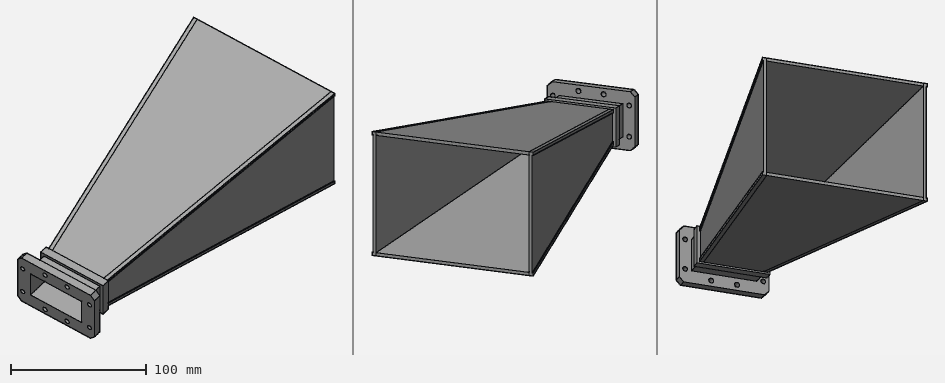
import cadquery as cq

length = 254.8

bore_width, bore_height = 47.1, 22.2
flange_width, flange_height = 70.8, 45.3
flange_thickness = 6.5
flange_chamfer = 3.5
neck_width, neck_height = 51.5, 25.5
neck_length = 12.7
collar_width, collar_height = 57.5, 30.0
collar_thickness = flange_thickness
collar_start = flange_thickness + neck_length
throat_y = collar_start + collar_thickness

edge_hole_diameter = 3.8
edge_hole_x, edge_hole_z = 10.2, 18.0
side_hole_diameter = 3.5
side_hole_x, side_hole_z = 30.8, 12.0

wall = 2.5
lip = 0.8
mouth_half_width = 130.2 / 2
mouth_half_height = 95.3 / 2
throat_half_width = bore_width / 2 + wall + lip
throat_half_height = bore_height / 2 + wall


def block(width, height, start, depth):
    """Box centred on the bore axis, reaching from start towards +Y."""
    return cq.Workplane("XY").box(width, depth, height).translate((0, start + depth / 2, 0))


def cut_holes(body, hole_x, hole_z, diameter):
    """Drill four holes, mirrored about both axes, through the flange."""
    for x in (-hole_x, hole_x):
        for z in (-hole_z, hole_z):
            drill = cq.Solid.makeCylinder(
                diameter / 2, flange_thickness, cq.Vector(x, 0, z), cq.Vector(0, 1, 0)
            )
            body = body.cut(cq.Workplane(drill))
    return body


def make_feed():
    flange = block(flange_width, flange_height, 0, flange_thickness)
    flange = flange.edges("|Y").chamfer(flange_chamfer)
    flange = cut_holes(flange, edge_hole_x, edge_hole_z, edge_hole_diameter)
    flange = cut_holes(flange, side_hole_x, side_hole_z, side_hole_diameter)
    neck = block(neck_width, neck_height, flange_thickness, neck_length)
    collar = block(collar_width, collar_height, collar_start, collar_thickness)
    bore = block(bore_width, bore_height, 0, throat_y)
    return flange.union(neck).union(collar).cut(bore)


def taper(section):
    """Ruled solid between the same cross-section at the throat and at the mouth."""
    ends = (
        (throat_y, throat_half_width, throat_half_height),
        (length, mouth_half_width, mouth_half_height),
    )
    wires = []
    for y, half_width, half_height in ends:
        points = [cq.Vector(x, y, z) for x, z in section(half_width, half_height)]
        wires.append(cq.Wire.makePolygon(points, close=True))
    return cq.Workplane(cq.Solid.makeLoft(wires, True))


def broad_section(half_width, half_height):
    """Flat wall that fits between the two side walls."""
    edge = half_width - lip - wall
    inside = half_height - wall
    return [(-edge, inside), (edge, inside), (edge, half_height), (-edge, half_height)]


def side_section(half_width, half_height):
    """Full-height wall with an outward lip along its top and bottom edges."""
    face = half_width - lip
    inside = face - wall
    lip_z = half_height - wall
    return [
        (inside, -half_height),
        (half_width, -half_height),
        (half_width, -lip_z),
        (face, -lip_z),
        (face, lip_z),
        (half_width, lip_z),
        (half_width, half_height),
        (inside, half_height),
    ]


def make_wall_pair(section):
    """A tapered wall and its half-turn copy on the other side of the horn."""
    one_wall = taper(section)
    return [one_wall.rotate((0, 0, 0), (0, 1, 0), angle) for angle in (0, 180)]


feed = make_feed()
broad_walls = make_wall_pair(broad_section)
side_walls = make_wall_pair(side_section)

result = cq.Compound.makeCompound(
    [feed.val()] + [horn_wall.val() for horn_wall in broad_walls + side_walls]
)